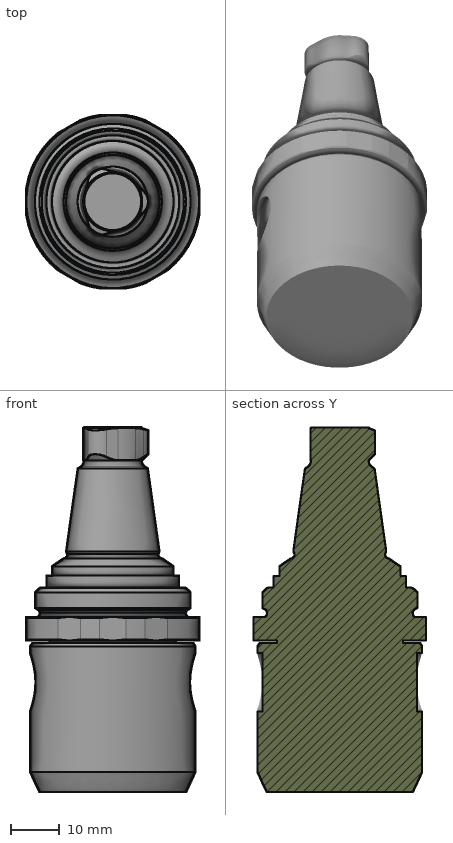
import math

import cadquery as cq

total_height = 75.0
base_cone_top = 4.2
body_top = 30.7
ring_bottom = 31.15
ring_top = 36.05
seat_bottom = 37.85
seat_top = 42.1
collar_top = 44.5
shoulder_edge = 46.4
shoulder_top = 48.05
taper_bottom = 49.5
taper_top = 66.5
drive_bottom = 68.15

base_radius = 30.1 / 2
body_radius = 34.0 / 2
spindle_radius = 26.0 / 2
seat_radius = 32.0 / 2
seat_lip_radius = 30.1 / 2
collar_radius = 27.3 / 2
shoulder_radius = 25.0 / 2
shoulder_top_radius = 10.1
taper_bottom_radius = 9.6
neck_radius = 12.0 / 2
neck_rim_radius = 6.5

body_edge_chamfer_width = 0.5
body_edge_chamfer_height = 0.75
seat_crest_radius = 14.6
seat_crest_drop = 0.15
seat_chamfer_height = 0.9
taper_half_angle = 8.0
neck_rim_rise = 0.45
neck_flare = 1.5

taper_groove_depth = 0.25
taper_groove_overhang = 0.6
taper_groove_flare = 0.8
seat_groove_mouth_radius = 15.2
seat_groove_radius = 15.05
seat_groove_foot_radius = 15.4
seat_groove_mouth_height = 37.4
seat_groove_top = 36.95
seat_groove_bottom = 36.75
seat_groove_flare = 0.8

ring_radius = 18.0
ring_across_flats = 35.6
ring_chamfer = 0.25
ring_flat_angles = (0, 60, 90, 120, 180, 240, 270, 300)

dimple_diameter = 12.0
dimple_height = 22.6
dimple_floor_offset = 15.9

lobe_count = 3
lobe_centre_distance = 4.35
lobe_radius = 2.95
lobe_tip_radius = lobe_centre_distance + lobe_radius
waist_radius = 6.08
hollow_radius = 18.0
drive_top_radius = 5.85
drive_edge_chamfer = 0.2
drive_top_slope = 20.0
drive_bottom_slope = 45.0
envelope_clearance = 1.0


def polar(distance, degrees):
    angle = math.radians(degrees)
    return (distance * math.cos(angle), distance * math.sin(angle))


def along(start, end, distance):
    """Point at a given distance from start towards end."""
    ratio = distance / math.dist(start, end)
    return (start[0] + (end[0] - start[0]) * ratio, start[1] + (end[1] - start[1]) * ratio)


def build_turned_body():
    """Body, spindle, seat, shoulder, taper and neck, turned about Z."""
    taper_length = taper_top - taper_bottom
    taper_top_radius = taper_bottom_radius - taper_length * math.tan(math.radians(taper_half_angle))
    taper_groove_radius = taper_bottom_radius - taper_groove_depth
    seat_lip_height = seat_top - seat_crest_drop
    rim_height = taper_top + neck_rim_rise
    profile = (
        cq.Workplane("XZ")
        .moveTo(0, 0)
        .lineTo(base_radius, 0)
        .lineTo(body_radius, base_cone_top)
        .lineTo(body_radius, body_top - body_edge_chamfer_height)
        .lineTo(body_radius - body_edge_chamfer_width, body_top)
        .lineTo(spindle_radius, body_top)
        .lineTo(spindle_radius, ring_top)
        .lineTo(seat_groove_foot_radius, ring_top)
        .radiusArc((seat_groove_radius, seat_groove_bottom), seat_groove_flare)
        .lineTo(seat_groove_radius, seat_groove_top)
        .lineTo(seat_groove_mouth_radius, seat_groove_mouth_height)
        .lineTo(seat_radius, seat_bottom)
        .lineTo(seat_radius, seat_lip_height - seat_chamfer_height)
        .lineTo(seat_lip_radius, seat_lip_height)
        .lineTo(seat_crest_radius, seat_top)
        .lineTo(collar_radius, seat_top)
        .lineTo(collar_radius, collar_top)
        .lineTo(shoulder_radius, collar_top)
        .lineTo(shoulder_radius, shoulder_edge)
        .lineTo(shoulder_top_radius, shoulder_top)
        .radiusArc((taper_groove_radius, taper_bottom - taper_groove_overhang), taper_groove_flare)
        .lineTo(taper_bottom_radius, taper_bottom)
        .lineTo(taper_top_radius, taper_top)
        .lineTo(neck_rim_radius, rim_height)
        .radiusArc((neck_radius, drive_bottom), neck_flare)
        .lineTo(0, drive_bottom)
        .close()
    )
    return profile.revolve(360, (0, 0, 0), (0, 1, 0))


def build_ring():
    """Clamping ring: a chamfered disc with narrow spanner flats."""
    height = ring_top - ring_bottom
    ring = (
        cq.Workplane("XY", origin=(0, 0, ring_bottom))
        .circle(ring_radius)
        .extrude(height)
        .faces("<Z or >Z")
        .chamfer(ring_chamfer)
    )
    trim = cq.Workplane("XY", origin=(ring_across_flats / 2, 0, ring_bottom)).box(
        ring_radius, ring_radius, height, centered=(False, True, False)
    )
    for angle in ring_flat_angles:
        ring = ring.cut(trim.rotate((0, 0, 0), (0, 0, 1), angle))
    return ring


def build_drive_lobes():
    """Three rounded lobes joined by hollows to the round waist between them, one lobe on +X."""
    pitch = 360 / lobe_count
    hollow_distance = waist_radius + hollow_radius
    lobe_to_hollow = hollow_radius + lobe_radius
    cosine = (hollow_distance**2 + lobe_centre_distance**2 - lobe_to_hollow**2) / (
        2 * hollow_distance * lobe_centre_distance
    )
    hollow_angle = math.degrees(math.acos(cosine))

    def lobe_end(lobe_angle, side):
        """Point where a lobe meets the hollow on its clockwise (-1) or other (+1) side."""
        lobe_centre = polar(lobe_centre_distance, lobe_angle)
        hollow_centre = polar(hollow_distance, lobe_angle + side * hollow_angle)
        return along(lobe_centre, hollow_centre, lobe_radius)

    outline = cq.Workplane("XY", origin=(0, 0, drive_bottom)).moveTo(*lobe_end(0, -1))
    for index in range(lobe_count):
        angle = index * pitch
        outline = (
            outline.threePointArc(polar(lobe_tip_radius, angle), lobe_end(angle, 1))
            .radiusArc(polar(waist_radius, angle + hollow_angle), hollow_radius)
            .threePointArc(
                polar(waist_radius, angle + pitch / 2),
                polar(waist_radius, angle + pitch - hollow_angle),
            )
            .radiusArc(lobe_end(angle + pitch, -1), hollow_radius)
        )
    return outline.close().extrude(total_height - drive_bottom)


def build_drive_envelope():
    """Turned shape that bevels the lobes at both ends and chamfers the top edge."""
    outer_radius = lobe_tip_radius + envelope_clearance
    bevel_radius = drive_top_radius + drive_edge_chamfer
    bevel_height = total_height - drive_edge_chamfer
    top_drop = (outer_radius - bevel_radius) * math.tan(math.radians(drive_top_slope))
    bottom_rise = (outer_radius - neck_radius) * math.tan(math.radians(drive_bottom_slope))
    return (
        cq.Workplane("XZ")
        .moveTo(0, drive_bottom)
        .lineTo(neck_radius, drive_bottom)
        .lineTo(outer_radius, drive_bottom + bottom_rise)
        .lineTo(outer_radius, bevel_height - top_drop)
        .lineTo(bevel_radius, bevel_height)
        .lineTo(drive_top_radius, total_height)
        .lineTo(0, total_height)
        .close()
        .revolve(360, (0, 0, 0), (0, 1, 0))
    )


def build_dimple(side):
    """Flat-bottomed round pocket on the +X (side=1) or -X (side=-1) flank."""
    return (
        cq.Workplane("YZ", origin=(side * dimple_floor_offset, 0, dimple_height))
        .circle(dimple_diameter / 2)
        .extrude(side * body_radius)
    )


drive = build_drive_lobes().intersect(build_drive_envelope())
holder = build_turned_body().union(build_ring()).union(drive)
for side in (-1, 1):
    holder = holder.cut(build_dimple(side))

result = holder